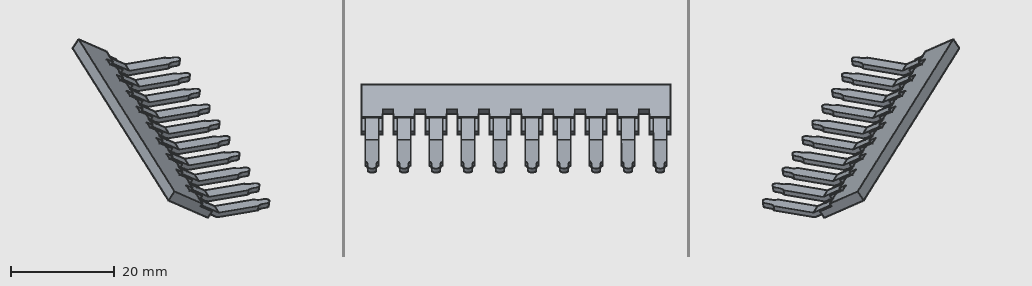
import cadquery as cq
import math

rail_length = 59.8
rail_depth = 9.7
rail_thickness = 2.2
rail_tilt = 34.0
rail_lift = 0.7

tab_count = 10
tab_width = 4.1
tab_thickness = 1.55
tab_thin_depth = 2.8
notch_depth = 4.35
tab_pitch = (rail_length - tab_width) / (tab_count - 1)

pin_width = 2.65
pin_thickness = 1.0
pin_top_offset = 1.6
pin_reach = 13.15
nose_width = 1.7
shoulder_start = 1.55
shoulder_end = 2.65
nose_lean = 8.0

tilt = math.radians(rail_tilt)


def slope_point(along, above):
    """Y and Z of a point given along the rail slope and above its underside."""
    y = -along * math.cos(tilt) + above * math.sin(tilt)
    z = rail_lift + along * math.sin(tilt) + above * math.cos(tilt)
    return (y, z)


def extrude_profile(points, x_start, width):
    """Extrude a Y-Z outline along +X from x_start."""
    return cq.Workplane("YZ", origin=(x_start, 0, 0)).polyline(points).close().extrude(width)


def make_rail():
    outline = [
        slope_point(0, 0),
        slope_point(rail_depth, 0),
        slope_point(rail_depth, rail_thickness),
        slope_point(tab_thin_depth, rail_thickness),
        slope_point(tab_thin_depth, tab_thickness),
        slope_point(0, tab_thickness),
    ]
    rail = extrude_profile(outline, 0, rail_length)
    notch_outline = [
        slope_point(0, 0),
        slope_point(notch_depth, 0),
        slope_point(notch_depth, rail_thickness),
        slope_point(0, rail_thickness),
    ]
    for i in range(tab_count - 1):
        notch_x = tab_width + i * tab_pitch
        rail = rail.cut(extrude_profile(notch_outline, notch_x, tab_pitch - tab_width))
    return rail


def make_pin():
    """One pin, centred on X = 0."""
    pin_bottom_offset = pin_top_offset - pin_thickness
    top_y, top_z = slope_point(0, pin_top_offset)
    bottom_y, bottom_z = slope_point(0, pin_bottom_offset)
    top_bend = (top_y + (top_z - pin_thickness) / math.tan(tilt), pin_thickness)
    bottom_bend = (bottom_y + bottom_z / math.tan(tilt), 0)
    outline = [
        (pin_reach, 0),
        (pin_reach, pin_thickness),
        top_bend,
        slope_point(tab_thin_depth, pin_top_offset),
        slope_point(tab_thin_depth, pin_bottom_offset),
        bottom_bend,
    ]
    strip = extrude_profile(outline, -pin_width / 2, pin_width)

    half_nose = nose_width / 2
    half_pin = pin_width / 2
    flare_rise = half_pin - half_nose
    flare_run = shoulder_end - shoulder_start
    flare_radius = (flare_rise**2 + flare_run**2) / (2 * flare_rise)
    flare_y = pin_reach - shoulder_start
    shoulder_y = pin_reach - shoulder_end
    plan = (
        cq.Workplane("XY")
        .moveTo(-half_pin, -rail_depth)
        .lineTo(-half_pin, shoulder_y)
        .radiusArc((-half_nose, flare_y), -flare_radius)
        .lineTo(-half_nose, pin_reach - half_nose)
        .threePointArc((0, pin_reach), (half_nose, pin_reach - half_nose))
        .lineTo(half_nose, flare_y)
        .radiusArc((half_pin, shoulder_y), -flare_radius)
        .lineTo(half_pin, -rail_depth)
        .close()
        .extrude(pin_reach, both=True)
    )
    tip_axis_start = (0, pin_reach, pin_thickness)
    tip_axis_end = (1, pin_reach, pin_thickness)
    plan = plan.rotate(tip_axis_start, tip_axis_end, -nose_lean)
    return strip.intersect(plan)


result = make_rail()
pin = make_pin()
for i in range(tab_count):
    result = result.union(pin.translate((tab_width / 2 + i * tab_pitch, 0, 0)))